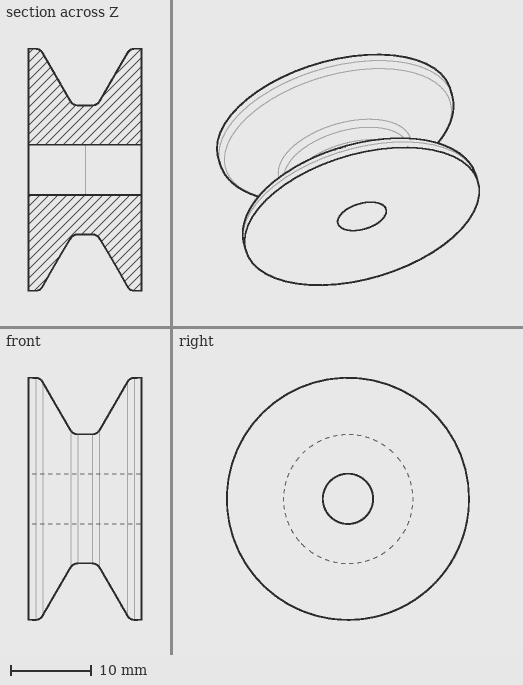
import cadquery as cq
import math

width = 14.0
rim_diameter = 30.0
root_diameter = 16.0
bore_diameter = 6.2
root_width = 3.0
flank_angle = 30.0
edge_radius = 1.0

half_width = width / 2
rim_radius = rim_diameter / 2
root_radius = root_diameter / 2
half_root = root_width / 2
half_mouth = half_root + (rim_radius - root_radius) * math.tan(math.radians(flank_angle))


def grooved_body():
    """Revolve the sharp-cornered V-groove profile about the X axis."""
    profile = (
        cq.Workplane("XY")
        .moveTo(-half_width, 0)
        .lineTo(-half_width, rim_radius)
        .lineTo(-half_mouth, rim_radius)
        .lineTo(-half_root, root_radius)
        .lineTo(half_root, root_radius)
        .lineTo(half_mouth, rim_radius)
        .lineTo(half_width, rim_radius)
        .lineTo(half_width, 0)
        .close()
    )
    return profile.revolve(360, (0, 0, 0), (1, 0, 0))


def round_groove_edges(body):
    """Round the circular edges where the flanks meet the floor and the rims."""
    groove_edges = body.edges("%CIRCLE and (not (<X or >X))")
    return groove_edges.fillet(edge_radius)


def bore():
    """Cylinder that clears the full width of the pulley along its axis."""
    return cq.Workplane("YZ").circle(bore_diameter / 2).extrude(half_width, both=True)


result = round_groove_edges(grooved_body()).cut(bore())